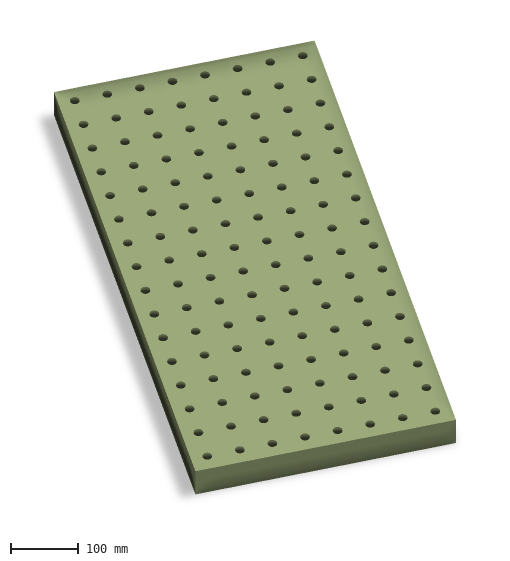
import cadquery as cq

length = 800.0
width = length / 2

columns = 16
rows = 8
pitch = length / columns
hole_diameter = 14.0

thickness = pitch

plate = cq.Workplane("XY").box(length, width, thickness)

result = (
    plate.faces(">Z")
    .workplane()
    .rarray(pitch, pitch, columns, rows)
    .hole(hole_diameter)
)